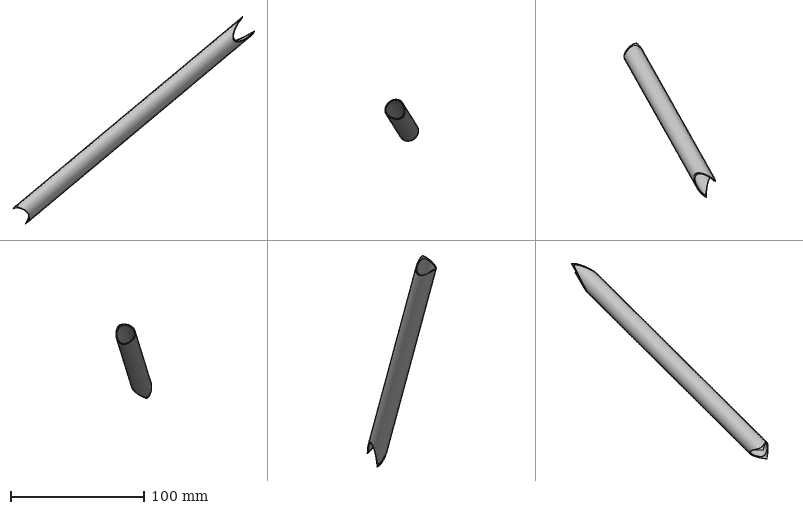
import cadquery as cq
import math

OUTER_RADIUS = 7.5
WALL = 0.75
BEARING = math.radians(60.0)
SLOPE = math.asin(math.sqrt(3) / 4)

JOINT_DISTANCE = 233.1
RAIL_RADIUS = 9.95
BRACE_ANGLE = math.radians(27.6)

COPE_REACH = 100.0

origin = cq.Vector(0, 0, 0)
y_direction = cq.Vector(0, 1, 0)
axis = cq.Vector(
    math.cos(SLOPE) * math.cos(BEARING),
    math.cos(SLOPE) * math.sin(BEARING),
    math.sin(SLOPE),
)
joint = axis * JOINT_DISTANCE


def rod_through(point, direction, radius):
    """Long solid rod centred on a point."""
    start = point - direction * COPE_REACH
    return cq.Solid.makeCylinder(radius, 2 * COPE_REACH, start, direction)


def straight_tube():
    """Uncut tube from the origin to the upper joint."""
    outer = cq.Solid.makeCylinder(OUTER_RADIUS, JOINT_DISTANCE, origin, axis)
    bore = cq.Solid.makeCylinder(OUTER_RADIUS - WALL, JOINT_DISTANCE, origin, axis)
    return outer.cut(bore)


def lower_cope():
    """Equal tube meeting at the origin, mirrored across the XZ plane."""
    mirrored_axis = cq.Vector(axis.x, -axis.y, axis.z)
    return rod_through(origin, mirrored_axis, OUTER_RADIUS)


def rail_cope():
    """Rail parallel to Y through the upper joint."""
    return rod_through(joint, y_direction, RAIL_RADIUS)


def brace_cope():
    """Equal tube through the upper joint, in the plane of the centre line and Y, turned away from Y."""
    away_from_y = (axis * axis.y - y_direction).normalized()
    brace_axis = axis * math.cos(BRACE_ANGLE) + away_from_y * math.sin(BRACE_ANGLE)
    return rod_through(joint, brace_axis, OUTER_RADIUS)


tube = straight_tube().cut(lower_cope()).cut(rail_cope()).cut(brace_cope())
result = cq.Workplane(obj=tube).solids()